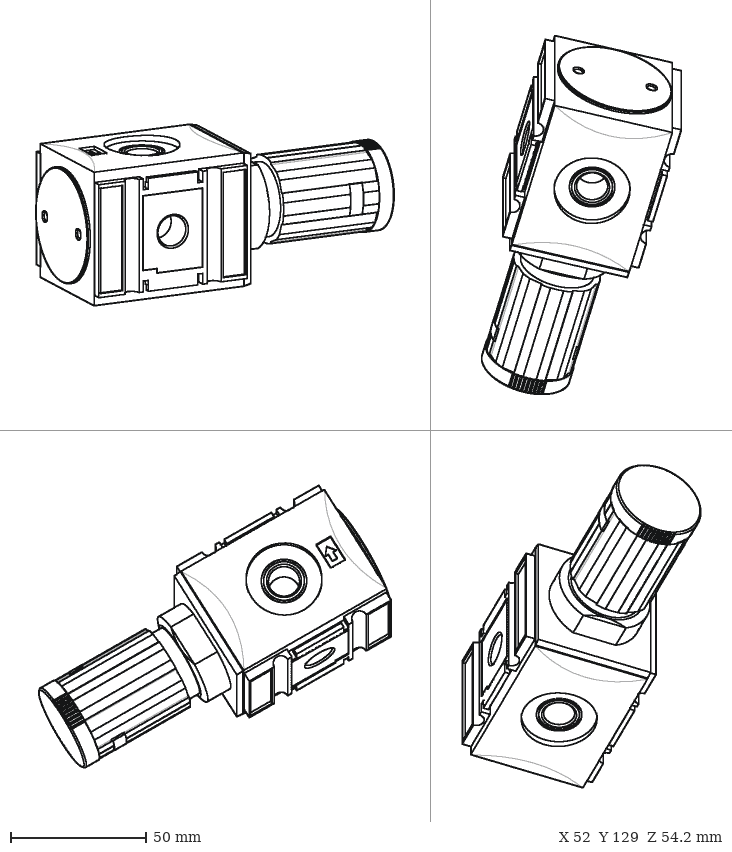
import cadquery as cq
import math


OVERALL_LENGTH = 129.0

BLOCK_HALF_LENGTH = 30.8
BLOCK_WIDTH = 44.9
EDGE_HEIGHT = 51.1
CROWN_HEIGHT = 54.2
SLOPE_LENGTH = 6.5
SLOPE = (CROWN_HEIGHT - EDGE_HEIGHT) / 2 / SLOPE_LENGTH

OVERALL_WIDTH = 52.0
FLANGE_HEIGHT = 43.2
FLANGE_INSET = 0.3
FLANGE_THICKNESS = (OVERALL_WIDTH - BLOCK_WIDTH) / 2
CLAMP_GROOVE_Y = 16.9
CLAMP_GROOVE_RADIUS = 2.8
END_POCKET_Y = 25.3
END_POCKET_LENGTH = 9.2
END_POCKET_HEIGHT = 40.2
END_POCKET_DEPTH = 1.0
RECESS_LENGTH = 24.5
RECESS_HEIGHT = 30.2
RECESS_DEPTH = 0.4
RECESS_CORNER_LENGTH = 5.7
RECESS_CORNER_HEIGHT = 1.7
TONGUE_SLOT_WIDTH = 2.0
TONGUE_SLOT_DEPTH = 4.1
TONGUE_LENGTH = RECESS_LENGTH - 2 * TONGUE_SLOT_WIDTH
TONGUE_THICKNESS = 1.9
TONGUE_STEP = 0.8

PORT_BORE = 11.5
PORT_MOUTH = 12.9
PORT_CHAMFER = (PORT_MOUTH - PORT_BORE) / 2
PORT_DEPTH = 12.9
SPOTFACE_DIAMETER = 28.0
SPOTFACE_HALF_HEIGHT = 24.5
SEAL_OUTER = 16.8
SEAL_INNER = 15.1
SEAL_DEPTH = 0.4

ARROW_POCKET_Y = -20.1
ARROW_POCKET_LENGTH = 10.6
ARROW_POCKET_WIDTH = 6.2
ARROW_FLOOR = 25.8
ARROW_DEPTH = 0.5
ARROW_HALF_LENGTH = 3.0
ARROW_SHAFT_HALF = 1.0
ARROW_HEAD_HALF = 2.3

PLUG_FRONT = -33.2
PLUG_THICKNESS = 1.2
PLUG_DIAMETER = 43.5
PLUG_NECK_DIAMETER = 37.2
PLUG_CHAMFER = 0.4
PIN_HOLE_X = 13.9
PIN_HOLE_DIAMETER = 3.2
PIN_HOLE_MOUTH = 4.3
PIN_HOLE_DEPTH = 2.6
PIN_HOLE_TAPER = 45

COVER_BACK = 33.8
SEAM_WIDTH = 0.3
SEAM_DEPTH = 0.1
COLLAR_DIAMETER = 36.2
COLLAR_FLATS = 32.0
COLLAR_SHOULDER = 43.6
COLLAR_BACK = 44.8
COLLAR_TOP_DIAMETER = 30.0
COLLAR_BEVEL = (COLLAR_FLATS - COLLAR_TOP_DIAMETER) / 2
NECK_DIAMETER = 28.0

GRIP_FRONT = 50.2
CAP_FRONT = 89.5
KNOB_BACK = PLUG_FRONT + OVERALL_LENGTH
GRIP_RADIUS = 16.6
PANEL_COUNT = 4
PANEL_PITCH = 360 / PANEL_COUNT
SLOPE_ANGLE = PANEL_PITCH / 3
BAND_HALF_ANGLE = 8.7
STEP_DEPTH = 0.6
STEP_FILLET = 0.4
BAND_DEPTH = 0.1
PAD_RISE = 0.06
PAD_RADIUS = GRIP_RADIUS + PAD_RISE
PAD_FRONT = 77.8
PAD_BACK = 83.3
PAD_BEVEL = 0.4
CAP_DIAMETER = 33.8
CAP_CHAMFER = 0.6
NOTCH_COUNT = 9
NOTCH_PITCH = 5.4
NOTCH_WIDTH = 0.6
NOTCH_DEPTH = 0.5


def rod(diameter, y_start, y_end):
    """Cylinder along Y."""
    return cq.Workplane("XZ", origin=(0, y_start, 0)).circle(diameter / 2).extrude(y_start - y_end)


def block(size, center):
    return cq.Workplane("XY").box(*size).translate(center)


def polar(radius, degrees):
    """Point on a circle in the XZ plane, with the angle taken from +X."""
    angle = math.radians(degrees)
    return (radius * math.cos(angle), radius * math.sin(angle))


def sloped_prism(y_front, y_back):
    """Crowned block between two Y planes, with its top and bottom sloped down at both ends."""
    half_width = BLOCK_WIDTH / 2
    edge = EDGE_HEIGHT / 2
    crown = CROWN_HEIGHT / 2
    crowned = (
        cq.Workplane("XZ", origin=(0, y_front, 0))
        .moveTo(-half_width, -edge)
        .threePointArc((0, -crown), (half_width, -edge))
        .lineTo(half_width, edge)
        .threePointArc((0, crown), (-half_width, edge))
        .close()
        .extrude(y_front - y_back)
    )
    end = COVER_BACK
    end_height = edge - SLOPE * (end - BLOCK_HALF_LENGTH)
    flat_y = BLOCK_HALF_LENGTH - SLOPE_LENGTH
    side_outline = (
        cq.Workplane("YZ")
        .polyline([
            (-end, -end_height), (-flat_y, -crown), (flat_y, -crown), (end, -end_height),
            (end, end_height), (flat_y, crown), (-flat_y, crown), (-end, end_height),
        ])
        .close()
        .extrude(half_width, both=True)
    )
    return crowned.intersect(side_outline)


def tongue_slot():
    """Cutter for the U-shaped slot around the tongue at the top of the +X flange."""
    slot_bottom = FLANGE_HEIGHT / 2 - TONGUE_SLOT_DEPTH
    slot_middle = slot_bottom + TONGUE_SLOT_DEPTH / 2
    slot = block(
        (FLANGE_THICKNESS, RECESS_LENGTH, TONGUE_SLOT_DEPTH),
        ((BLOCK_WIDTH + FLANGE_THICKNESS) / 2, 0, slot_middle),
    )
    tongue = block(
        (TONGUE_THICKNESS, TONGUE_LENGTH, TONGUE_SLOT_DEPTH),
        ((OVERALL_WIDTH - TONGUE_THICKNESS) / 2, 0, slot_middle),
    )
    ledge = block(
        (TONGUE_STEP, TONGUE_LENGTH, TONGUE_SLOT_DEPTH / 2),
        ((OVERALL_WIDTH - TONGUE_STEP) / 2 - TONGUE_THICKNESS, 0, slot_bottom + TONGUE_SLOT_DEPTH / 4),
    )
    return slot.cut(tongue).cut(ledge)


def port_recess():
    """Cutter for the shallow recess around the +X port, less one corner."""
    depth_middle = (OVERALL_WIDTH - RECESS_DEPTH) / 2
    recess = block((RECESS_DEPTH, RECESS_LENGTH, RECESS_HEIGHT), (depth_middle, 0, 0))
    corner = block(
        (RECESS_DEPTH, RECESS_CORNER_LENGTH, RECESS_CORNER_HEIGHT),
        (
            depth_middle,
            (RECESS_CORNER_LENGTH - RECESS_LENGTH) / 2,
            (RECESS_CORNER_HEIGHT - RECESS_HEIGHT) / 2,
        ),
    )
    return recess.cut(corner)


def side_flange():
    """Flange on the +X side."""
    flange = block(
        (FLANGE_THICKNESS, 2 * (BLOCK_HALF_LENGTH - FLANGE_INSET), FLANGE_HEIGHT),
        ((BLOCK_WIDTH + FLANGE_THICKNESS) / 2, 0, 0),
    )
    for side in (-1, 1):
        groove = (
            cq.Workplane("XY")
            .center(OVERALL_WIDTH / 2, side * CLAMP_GROOVE_Y)
            .circle(CLAMP_GROOVE_RADIUS)
            .extrude(FLANGE_HEIGHT / 2, both=True)
        )
        pocket = block(
            (END_POCKET_DEPTH, END_POCKET_LENGTH, END_POCKET_HEIGHT),
            ((OVERALL_WIDTH - END_POCKET_DEPTH) / 2, side * END_POCKET_Y, 0),
        )
        flange = flange.cut(groove).cut(pocket)
    slot = tongue_slot()
    return flange.cut(slot).cut(slot.mirror("XY")).cut(port_recess())


def port_bore(face_height):
    """Cutter for a blind chamfered bore entered from the +Z side."""
    outline = [
        (0, face_height),
        (PORT_MOUTH / 2, face_height),
        (PORT_BORE / 2, face_height - PORT_CHAMFER),
        (PORT_BORE / 2, face_height - PORT_DEPTH),
        (0, face_height - PORT_DEPTH),
    ]
    return cq.Workplane("XZ").polyline(outline).close().revolve(360, (0, 0), (0, 1))


def gauge_port():
    """Cutter for the port in the top face, with its spotface and seal groove."""
    floor = cq.Workplane("XY").workplane(offset=SPOTFACE_HALF_HEIGHT)
    spotface = floor.circle(SPOTFACE_DIAMETER / 2).extrude(CROWN_HEIGHT / 2 - SPOTFACE_HALF_HEIGHT)
    seal = floor.circle(SEAL_OUTER / 2).circle(SEAL_INNER / 2).extrude(-SEAL_DEPTH)
    return spotface.union(port_bore(SPOTFACE_HALF_HEIGHT)).union(seal)


def arrow_pocket():
    """Cutter for the pocket in the top face with the flow arrow sunk into its floor."""
    floor = cq.Workplane("XY", origin=(0, ARROW_POCKET_Y, ARROW_FLOOR))
    pocket = floor.rect(ARROW_POCKET_LENGTH, ARROW_POCKET_WIDTH).extrude(CROWN_HEIGHT / 2 - ARROW_FLOOR)
    arrow = (
        floor.polyline([
            (-ARROW_HALF_LENGTH, -ARROW_SHAFT_HALF), (0, -ARROW_SHAFT_HALF), (0, -ARROW_HEAD_HALF),
            (ARROW_HALF_LENGTH, 0),
            (0, ARROW_HEAD_HALF), (0, ARROW_SHAFT_HALF), (-ARROW_HALF_LENGTH, ARROW_SHAFT_HALF),
        ])
        .close()
        .extrude(-ARROW_DEPTH)
    )
    return pocket.union(arrow)


def front_plug():
    """Round plug on the front face, on a narrower neck."""
    rim_back = PLUG_FRONT + PLUG_THICKNESS
    plug = rod(PLUG_DIAMETER, PLUG_FRONT, rim_back).faces("<Y").chamfer(PLUG_CHAMFER)
    return plug.union(rod(PLUG_NECK_DIAMETER, rim_back, -BLOCK_HALF_LENGTH))


def pin_holes():
    """Cutters for the two blind chamfered holes in the plug."""
    face = cq.Workplane("XZ", origin=(0, PLUG_FRONT, 0)).pushPoints([(-PIN_HOLE_X, 0), (PIN_HOLE_X, 0)])
    bores = face.circle(PIN_HOLE_DIAMETER / 2).extrude(-PIN_HOLE_DEPTH)
    mouth_depth = (PIN_HOLE_MOUTH - PIN_HOLE_DIAMETER) / 2
    mouths = face.circle(PIN_HOLE_MOUTH / 2).extrude(-mouth_depth, taper=PIN_HOLE_TAPER)
    return bores.union(mouths)


def make_housing():
    housing = sloped_prism(-BLOCK_HALF_LENGTH, BLOCK_HALF_LENGTH)
    flange = side_flange()
    housing = housing.union(flange).union(flange.mirror("YZ"))
    side_port = port_bore(OVERALL_WIDTH / 2 - RECESS_DEPTH).rotate((0, 0, 0), (0, 1, 0), 90)
    housing = housing.cut(side_port).cut(side_port.mirror("YZ"))
    top_port = gauge_port()
    housing = housing.cut(top_port).cut(top_port.mirror("XY"))
    return housing.cut(arrow_pocket()).union(front_plug()).cut(pin_holes())


def collar():
    """Round collar with a coned end and two flats."""
    outline = [
        (0, COVER_BACK),
        (COLLAR_DIAMETER / 2, COVER_BACK),
        (COLLAR_DIAMETER / 2, COLLAR_SHOULDER),
        (COLLAR_TOP_DIAMETER / 2, COLLAR_BACK),
        (0, COLLAR_BACK),
    ]
    turned = cq.Workplane("XY").polyline(outline).close().revolve(360, (0, 0), (0, 1))
    half_flats = COLLAR_FLATS / 2
    flats = (
        cq.Workplane("YZ")
        .polyline([
            (COVER_BACK, -half_flats), (COLLAR_SHOULDER, -half_flats),
            (COLLAR_BACK, COLLAR_BEVEL - half_flats), (COLLAR_BACK, half_flats - COLLAR_BEVEL),
            (COLLAR_SHOULDER, half_flats), (COVER_BACK, half_flats),
        ])
        .close()
        .extrude(COLLAR_DIAMETER / 2, both=True)
    )
    return turned.intersect(flats)


def grip():
    """Knob sleeve: four raised panels with sunken middle bands, and a rib between each pair."""
    panel_edge = SLOPE_ANGLE - BAND_HALF_ANGLE
    band_radius = GRIP_RADIUS - BAND_DEPTH
    step_radius = GRIP_RADIUS - STEP_DEPTH
    rib_edge = SLOPE_ANGLE + BAND_HALF_ANGLE
    outline = cq.Workplane("XZ", origin=(0, GRIP_FRONT, 0)).moveTo(*polar(GRIP_RADIUS, -panel_edge))
    for index in range(PANEL_COUNT):
        middle = index * PANEL_PITCH
        next_rib = middle + PANEL_PITCH / 2
        next_panel = middle + PANEL_PITCH
        outline = (
            outline
            .threePointArc(
                polar(GRIP_RADIUS, middle - SLOPE_ANGLE / 2), polar(GRIP_RADIUS, middle - BAND_HALF_ANGLE)
            )
            .lineTo(*polar(band_radius, middle - BAND_HALF_ANGLE))
            .threePointArc(polar(band_radius, middle), polar(band_radius, middle + BAND_HALF_ANGLE))
            .lineTo(*polar(GRIP_RADIUS, middle + BAND_HALF_ANGLE))
            .threePointArc(
                polar(GRIP_RADIUS, middle + SLOPE_ANGLE / 2), polar(GRIP_RADIUS, middle + panel_edge)
            )
            .lineTo(*polar(step_radius, middle + panel_edge))
            .lineTo(*polar(GRIP_RADIUS, middle + rib_edge))
            .threePointArc(polar(GRIP_RADIUS, next_rib), polar(GRIP_RADIUS, next_panel - rib_edge))
            .lineTo(*polar(step_radius, next_panel - panel_edge))
            .lineTo(*polar(GRIP_RADIUS, next_panel - panel_edge))
        )
    sleeve = outline.close().extrude(GRIP_FRONT - CAP_FRONT)
    corner_limit = step_radius + STEP_DEPTH / 2
    step_corners = sleeve.edges("|Y").filter(
        lambda edge: math.hypot(edge.Center().x, edge.Center().z) < corner_limit
    )
    return sleeve.newObject(step_corners.vals()).fillet(STEP_FILLET)


def grip_pads():
    """Low pads across the +X and -X panels, bevelled at the cap end."""
    half_height = GRIP_RADIUS * math.sin(math.radians(SLOPE_ANGLE - BAND_HALF_ANGLE))
    length = PAD_BACK - PAD_FRONT
    band = block((2 * PAD_RADIUS, length, 2 * half_height), (0, PAD_FRONT + length / 2, 0))
    return rod(2 * PAD_RADIUS, PAD_FRONT, PAD_BACK).faces(">Y").chamfer(PAD_BEVEL).intersect(band)


def cap():
    """End ring of the knob, with groups of notches at the top and the bottom."""
    ring = rod(CAP_DIAMETER, CAP_FRONT, KNOB_BACK).faces(">Y").chamfer(CAP_CHAMFER)
    length = KNOB_BACK - CAP_FRONT
    notch = block(
        (NOTCH_WIDTH, length, 2 * NOTCH_DEPTH), (0, CAP_FRONT + length / 2, CAP_DIAMETER / 2)
    )
    for group_angle in (0, 180):
        for index in range(NOTCH_COUNT):
            angle = group_angle + (index - (NOTCH_COUNT - 1) / 2) * NOTCH_PITCH
            ring = ring.cut(notch.rotate((0, 0, 0), (0, 1, 0), angle))
    return ring


def seam_groove():
    """Cutter for the groove around the cover next to the housing block."""
    middle = BLOCK_HALF_LENGTH + SEAM_WIDTH / 2
    surround = block((OVERALL_WIDTH, SEAM_WIDTH, CROWN_HEIGHT), (0, middle, 0))
    core_height = EDGE_HEIGHT - 2 * (SEAM_DEPTH + SLOPE * SEAM_WIDTH)
    core = block((BLOCK_WIDTH - 2 * SEAM_DEPTH, SEAM_WIDTH, core_height), (0, middle, 0))
    return surround.cut(core)


def make_bonnet():
    cover = sloped_prism(BLOCK_HALF_LENGTH, COVER_BACK).cut(seam_groove())
    bonnet = cover.union(collar()).union(rod(NECK_DIAMETER, COLLAR_BACK, GRIP_FRONT))
    return bonnet.union(grip()).union(grip_pads()).union(cap())


housing = make_housing()
bonnet = make_bonnet()
result = cq.Compound.makeCompound([housing.val(), bonnet.val()])